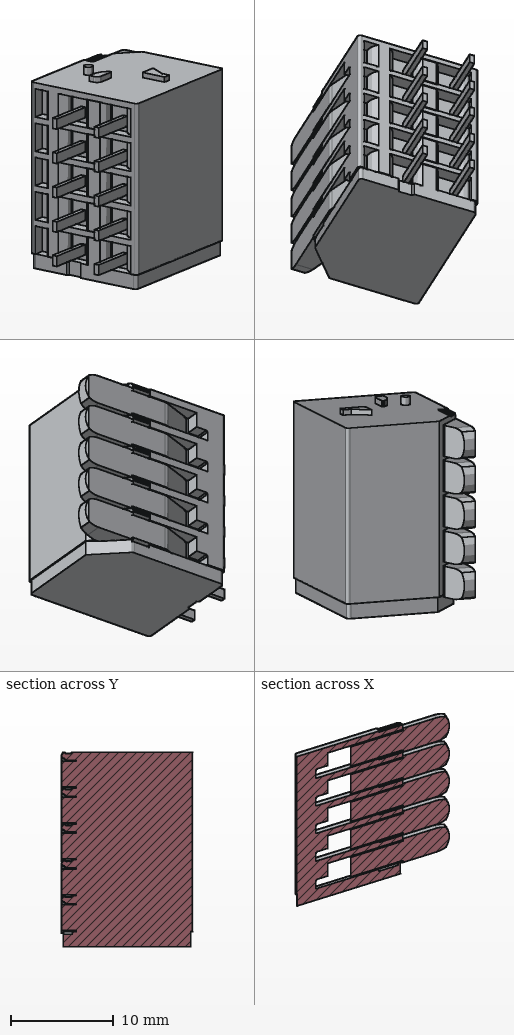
import cadquery as cq
import math

BODY_WIDTH = 12.75
TOTAL_LENGTH = 20.18
TOTAL_HEIGHT = 19.75
BODY_FRONT = 3.6
BODY_BACK = 18.08
BASE_HEIGHT = 1.5

POLE_COUNT = 5
POLE_PITCH = 3.5
BODY_TOP = BASE_HEIGHT + POLE_COUNT * POLE_PITCH
POLE_FLOORS = [BASE_HEIGHT + i * POLE_PITCH for i in range(POLE_COUNT)]

BEVEL_X = 3.07
BEVEL_Y = 3.5
BEVEL_SLOPE = BEVEL_Y / BEVEL_X
BEVEL_START = BODY_BACK - BEVEL_Y
CORNER_RADIUS = 0.32

BASE_SIDE_INSET = 0.16
BASE_END_INSET = 0.1
RECESS_LEFT = 4.28
RECESS_RIGHT = 5.95
RECESS_DEPTH = 0.22
RECESS_SLOPE = 0.16

POCKET_HEIGHT = 2.87
POCKET_DEPTH = 1.21
FOOT_CHAMFER = 0.1
LIP_FULLNESS = 0.8
REBATE_WIDTH = 0.18
REBATE_DEPTH = 0.52
COLUMN_LEFT = 6.85
COLUMN_RIGHT = 8.31
COLUMN_SETBACK = BASE_END_INSET

PIN_WIDTH = 0.5
PIN_HEIGHT = 1.05
PIN_RISE = 0.57
PIN_EMBED = 0.2
PIN_LEFTS = (5.23, 10.23)

SLOT_DEPTH = 1.41
SLOT_HEIGHT = 2.68
SLOT_FRONT = 7.02
NOTCH_FRONT = 5.73
NOTCH_HEIGHT = 1.09
NOTCH_CHAMFER = 0.15

LEVER_HEIGHT = 3.07
LEVER_DROP = 0.16
LEVER_CLEARANCE = 0.08
LEVER_WIDTH = 2.3
LEVER_SHOULDER = 17.54
TIP_LEFT = 0.15
TIP_RIGHT = 1.27
TIP_CHAMFER = 0.3
TIP_ARC_START = 18.77
TIP_ARC_END = 19.82
TIP_ARC_DROP = 0.26
RAMP_BEND_START = 10.85
RAMP_BEND_END = 10.37
RAMP_BEND_X = 0.1
RAMP_END = 7.5
RAMP_END_X = 1.23
LEVER_FRONT = 7.26

NOSE_FRONT = 12.55
GROOVE_RIGHT = 1.05
GROOVE_LEFT = 0.32
GROOVE_DEPTH = 0.16
GROOVE_WALL_RUN = 0.18
TOOTH_COUNT = 3
TOOTH_PITCH = 0.16
TOOTH_HEIGHT = 0.06
NOSE_CREST_X = 0.16
NOSE_KNEE_X = 0.06
NOSE_FACET_HEIGHT = 0.16
NOSE_UNDERCUT = 0.48
BASE_STEP_DEPTH = 0.26

PEG_DIAMETER = 0.9
PEG_X = 3.07
PEG_Y = 9.0
BLADE_HEIGHT = 0.59
WEDGE_HEIGHT = 0.52


def block(x0, x1, y0, y1, z0, z1):
    """Axis-aligned box between two corners."""
    return cq.Workplane("XY").box(x1 - x0, y1 - y0, z1 - z0, centered=False).translate((x0, y0, z0))


def housing_block(side_inset, end_inset, bevel_inset, z0, z1):
    """Bevelled block with rounded square corners, inset from the housing outline."""
    left = side_inset
    right = BODY_WIDTH - side_inset
    front = BODY_FRONT + end_inset
    back = BODY_BACK - end_inset
    bevel_at_zero = BEVEL_START - bevel_inset * math.hypot(1, BEVEL_SLOPE)
    outline = [
        (left, front),
        (right, front),
        (right, back),
        ((back - bevel_at_zero) / BEVEL_SLOPE, back),
        (left, bevel_at_zero + left * BEVEL_SLOPE),
    ]
    prism = cq.Workplane("XY", origin=(0, 0, z0)).polyline(outline).close().extrude(z1 - z0)
    front_corners = prism.edges("|Z and <Y").fillet(CORNER_RADIUS)
    return front_corners.edges("|Z and >X and >Y").fillet(CORNER_RADIUS)


def base_plate():
    """Base plate with a shallow slope-sided recess in its front face."""
    plate = housing_block(BASE_SIDE_INSET, BASE_END_INSET, BASE_SIDE_INSET, 0, BASE_HEIGHT)
    bevel_foot = cq.selectors.BoxSelector(
        (0, BEVEL_START - 0.2, 0), (BASE_SIDE_INSET + 0.2, BEVEL_START + 0.2, BASE_HEIGHT)
    )
    plate = plate.edges("|Z").edges(bevel_foot).fillet(CORNER_RADIUS)
    front = BODY_FRONT + BASE_END_INSET
    recess = (
        cq.Workplane("XY")
        .moveTo(RECESS_LEFT, front)
        .lineTo(RECESS_LEFT + RECESS_SLOPE, front + RECESS_DEPTH)
        .lineTo(RECESS_RIGHT - RECESS_SLOPE, front + RECESS_DEPTH)
        .lineTo(RECESS_RIGHT, front)
        .close()
        .extrude(BASE_HEIGHT)
    )
    return plate.cut(recess)


def lip_middle(foot, mouth):
    """Middle point of a side-wall arc that bulges into the pocket between its foot and its mouth."""
    run = mouth[0] - foot[0]
    depth = foot[1] - mouth[1]
    chord = math.hypot(run, depth)
    chord_angle = math.atan2(abs(run), depth)
    half_angle = LIP_FULLNESS * min(chord_angle, math.pi / 2 - chord_angle) / 2
    bulge = chord / 2 * math.tan(half_angle)
    return (
        foot[0] + run / 2 - math.copysign(bulge * depth / chord, run),
        mouth[1] + depth / 2 - bulge * abs(run) / chord,
    )


def funnel_pocket(mouth_left, foot_left, foot_right, mouth_right, z0, rebate_width=0):
    """Front pocket with bulging side walls and an optional rebate ahead of the right-hand one."""
    floor_y = BODY_FRONT + POCKET_DEPTH
    foot_y = floor_y - FOOT_CHAMFER
    sketch = cq.Workplane("XY", origin=(0, 0, z0)).moveTo(mouth_left, BODY_FRONT)
    if foot_left > mouth_left:
        foot = (foot_left, foot_y)
        sketch = sketch.threePointArc(lip_middle(foot, (mouth_left, BODY_FRONT)), foot)
        sketch = sketch.lineTo(foot_left + FOOT_CHAMFER, floor_y)
    else:
        sketch = sketch.lineTo(foot_left, floor_y)
    foot = (foot_right, foot_y)
    sketch = sketch.lineTo(foot_right - FOOT_CHAMFER, floor_y).lineTo(*foot)
    if rebate_width > 0:
        mouth = (mouth_right, BODY_FRONT + REBATE_DEPTH)
        sketch = sketch.threePointArc(lip_middle(foot, mouth), mouth)
        sketch = sketch.line(rebate_width, 0).line(0, -REBATE_DEPTH)
    else:
        mouth = (mouth_right, BODY_FRONT)
        sketch = sketch.threePointArc(lip_middle(foot, mouth), mouth)
    return sketch.close().extrude(POCKET_HEIGHT)


def front_pockets(z0):
    """The three front pockets of one pole and the set-back column between the last two."""
    side = funnel_pocket(0.59, 0.59, 1.43, 2.15, z0)
    middle = funnel_pocket(3.33, 4.08, 6.24, COLUMN_LEFT, z0)
    far = funnel_pocket(COLUMN_RIGHT, 8.82, 10.82, 11.8, z0, REBATE_WIDTH)
    column_back = BODY_FRONT + COLUMN_SETBACK
    column = block(COLUMN_LEFT, COLUMN_RIGHT, BODY_FRONT, column_back, z0, z0 + POCKET_HEIGHT)
    return side.union(middle).union(far).union(column)


def lever_slot(z0):
    """Slot in the -X side with a low notch ahead of it."""
    slot = block(0, SLOT_DEPTH, SLOT_FRONT, BODY_BACK, z0, z0 + SLOT_HEIGHT)
    notch = block(0, SLOT_DEPTH, NOTCH_FRONT, SLOT_FRONT, z0, z0 + NOTCH_HEIGHT)
    notch = notch.edges("|X and >Z and <Y").chamfer(NOTCH_CHAMFER)
    return slot.union(notch)


def nose_prism(outline):
    """Prism of an XZ outline running from the front end of the noses to the back of the housing."""
    sketch = cq.Workplane("XZ", origin=(0, BODY_BACK, 0)).polyline(outline).close()
    return sketch.extrude(BODY_BACK - NOSE_FRONT)


def nose_cut(rib_top):
    """Material removed from a rib: a toothed groove on top, a faceted edge and an undercut."""
    rib_bottom = rib_top - (POLE_PITCH - SLOT_HEIGHT)
    groove_floor = rib_top - GROOVE_DEPTH
    groove = [(GROOVE_LEFT, rib_top), (GROOVE_RIGHT, rib_top)]
    for i in range(TOOTH_COUNT):
        tooth_start = GROOVE_RIGHT - GROOVE_WALL_RUN - i * TOOTH_PITCH
        groove.append((tooth_start, groove_floor))
        groove.append((tooth_start - TOOTH_PITCH, groove_floor + TOOTH_HEIGHT))
    edge = [
        (0, rib_top),
        (NOSE_CREST_X, rib_top),
        (NOSE_KNEE_X, rib_top - NOSE_FACET_HEIGHT),
        (0, rib_top - 2 * NOSE_FACET_HEIGHT),
    ]
    undercut = [
        (0, rib_top - 3 * NOSE_FACET_HEIGHT),
        (NOSE_UNDERCUT, rib_bottom),
        (0, rib_bottom),
    ]
    return nose_prism(groove).union(nose_prism(edge)).union(nose_prism(undercut))


def lever(z0):
    """Release lever: bevel-backed handle, tapered tip, and an inner arm ending in a ramp."""
    outline = (
        cq.Workplane("XY", origin=(0, 0, z0 - LEVER_DROP))
        .moveTo(0, BEVEL_START)
        .lineTo(0, TOTAL_LENGTH - TIP_CHAMFER)
        .lineTo(TIP_LEFT, TOTAL_LENGTH)
        .lineTo(TIP_RIGHT, TOTAL_LENGTH)
        .lineTo(LEVER_WIDTH, LEVER_SHOULDER)
        .lineTo(LEVER_WIDTH, BEVEL_START + LEVER_WIDTH * BEVEL_SLOPE)
        .close()
        .extrude(LEVER_HEIGHT)
    )
    bottom = z0 - LEVER_DROP
    top = bottom + LEVER_HEIGHT
    side = (
        cq.Workplane("YZ")
        .moveTo(BEVEL_START, bottom)
        .lineTo(TIP_ARC_START, bottom)
        .tangentArcPoint((TIP_ARC_END, bottom + TIP_ARC_DROP), relative=False)
        .threePointArc((TOTAL_LENGTH, (bottom + top) / 2), (TIP_ARC_END, top - TIP_ARC_DROP))
        .threePointArc(tip_arc_middle(top), (TIP_ARC_START, top))
        .lineTo(BEVEL_START, top)
        .close()
        .extrude(LEVER_WIDTH)
    )
    arm = (
        cq.Workplane("XY", origin=(0, 0, z0 + LEVER_CLEARANCE))
        .moveTo(0, BEVEL_START)
        .lineTo(0, RAMP_BEND_START)
        .tangentArcPoint((RAMP_BEND_X, RAMP_BEND_END), relative=False)
        .lineTo(RAMP_END_X, RAMP_END)
        .lineTo(SLOT_DEPTH, LEVER_FRONT)
        .lineTo(SLOT_DEPTH, BEVEL_START + SLOT_DEPTH * BEVEL_SLOPE)
        .close()
        .extrude(SLOT_HEIGHT - 2 * LEVER_CLEARANCE)
    )
    return outline.intersect(side).union(arm)


def tip_arc_middle(top):
    """Middle point of the arc that leaves the lever's upper face tangentially."""
    run = TIP_ARC_END - TIP_ARC_START
    radius = (run ** 2 + TIP_ARC_DROP ** 2) / (2 * TIP_ARC_DROP)
    half_angle = math.asin(run / radius) / 2
    return (TIP_ARC_START + radius * math.sin(half_angle), top - radius * (1 - math.cos(half_angle)))


def pins(z0):
    """The two rectangular pins of one pole, seated in the pocket floors."""
    bottom = z0 + PIN_RISE
    root = BODY_FRONT + POCKET_DEPTH + PIN_EMBED
    pair = cq.Workplane("XY")
    for left in PIN_LEFTS:
        pair = pair.union(block(left, left + PIN_WIDTH, 0, root, bottom, bottom + PIN_HEIGHT))
    return pair


def top_features():
    """Round peg, curved blade and wedge standing on the top face."""
    top = cq.Workplane("XY", origin=(0, 0, BODY_TOP))
    peg = top.center(PEG_X, PEG_Y).circle(PEG_DIAMETER / 2).extrude(TOTAL_HEIGHT - BODY_TOP)
    blade = (
        top.moveTo(4.6, 7.05)
        .lineTo(5.09, 7.05)
        .threePointArc((5.49, 7.18), (5.65, 7.49))
        .lineTo(5.65, 9.22)
        .lineTo(5.53, 9.32)
        .lineTo(5.37, 9.28)
        .threePointArc((4.82, 8.64), (4.6, 7.83))
        .close()
        .extrude(BLADE_HEIGHT)
    )
    wedge_outline = [(8.1, 11.05), (10.7, 11.05), (10.7, 11.87), (9.85, 11.87), (8.1, 12.81)]
    wedge = top.polyline(wedge_outline).close().extrude(WEDGE_HEIGHT)
    return peg.union(blade).union(wedge)


housing = housing_block(0, 0, 0, BASE_HEIGHT, BODY_TOP)
for floor in POLE_FLOORS:
    housing = housing.cut(front_pockets(floor))
    housing = housing.cut(lever_slot(floor))
    housing = housing.cut(nose_cut(floor + POLE_PITCH))

base_step = block(0, GROOVE_RIGHT, NOSE_FRONT, BEVEL_START, BASE_HEIGHT - BASE_STEP_DEPTH, BASE_HEIGHT)
result = housing.union(base_plate().cut(base_step))
for floor in POLE_FLOORS:
    result = result.union(lever(floor)).union(pins(floor))
result = result.union(top_features())